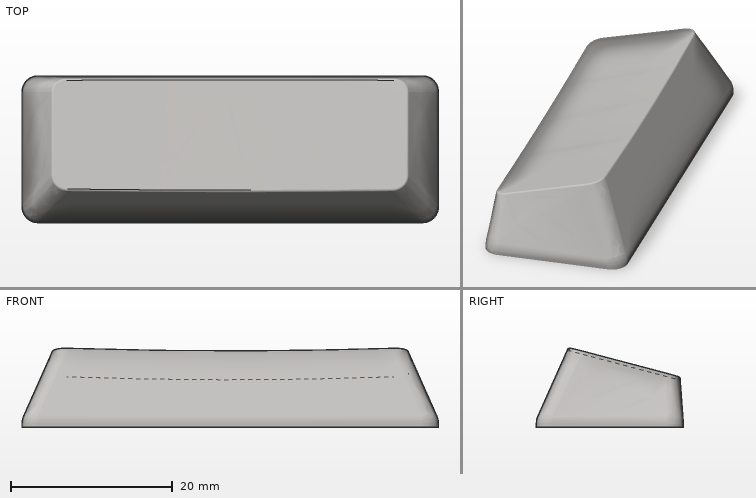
import cadquery as cq
import math

length = 51.5
depth = 18.2
skirt_height = 1.0
rounding_radius = 2.0

top_length = 44.0
top_front_y = -5.1
top_back_y = 8.7
top_back_height = 6.3
top_tilt = 14.8
top_edge_radius = 0.25

dish_sag = 0.4

tilt_angle = math.radians(top_tilt)
top_middle_y = (top_front_y + top_back_y) / 2
top_run = top_back_y - top_front_y
top_middle_height = top_back_height + top_run / 2 * math.tan(tilt_angle)
top_depth = top_run / math.cos(tilt_angle)


def top_workplane():
    """Plane of the top face: its local Y runs up the slope to the back."""
    level = cq.Plane(origin=(0, top_middle_y, top_middle_height))
    return cq.Workplane(level.rotated((-top_tilt, 0, 0)))


def make_sharp_body():
    """Skirt and twisted sides, lofted through three rectangles with sharp corners."""
    foot = cq.Workplane("XY").rect(length, depth)
    shoulder = cq.Workplane("XY", origin=(0, 0, skirt_height)).rect(length, depth)
    top = top_workplane().rect(top_length, top_depth)
    outlines = [section.wires().val() for section in (foot, shoulder, top)]
    return cq.Workplane(cq.Solid.makeLoft(outlines, True))


def round_corners_and_shoulder(body):
    """Round every edge that touches the shoulder: its rim and the upright corners."""
    foot_and_top_edges = body.faces("<Z or >Z").edges().vals()
    rounded_edges = [edge for edge in body.edges().vals() if edge not in foot_and_top_edges]
    return body.newObject(rounded_edges).fillet(rounding_radius)


def make_dish():
    """Cylinder that meets the ends of the top and dips by dish_sag at its middle."""
    half_length = top_length / 2
    radius = (half_length**2 + dish_sag**2) / (2 * dish_sag)
    plane = top_workplane().plane
    axis_plane = cq.Plane(
        origin=plane.toWorldCoords((0, 0, radius - dish_sag)),
        xDir=plane.xDir,
        normal=plane.yDir,
    )
    return cq.Workplane(axis_plane).circle(radius).extrude(top_depth, both=True)


body = round_corners_and_shoulder(make_sharp_body())
body = body.cut(make_dish())
result = body.faces(">Z").edges().fillet(top_edge_radius)